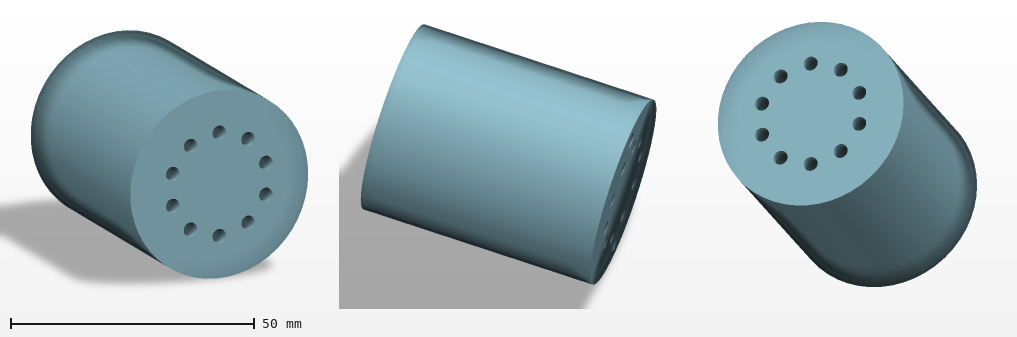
import cadquery as cq
import math

length = 50.0
diameter = 40.0

ring_hole_count = 10
ring_radius = 11.0
ring_hole_diameter = 3.0

blind_radius = 16.0
blind_diameter = 3.3
blind_depth = 10.0
blind_angle = 180.0 / ring_hole_count


def drill(radius, angle, hole_diameter, depth):
    """Cylinder entering the -X face; the angle runs from +Z toward -Y."""
    turn = math.radians(angle)
    entry = cq.Vector(-length / 2, -radius * math.sin(turn), radius * math.cos(turn))
    return cq.Workplane(cq.Solid.makeCylinder(hole_diameter / 2, depth, entry, cq.Vector(1, 0, 0)))


result = cq.Workplane("YZ", origin=(-length / 2, 0, 0)).circle(diameter / 2).extrude(length)

for index in range(ring_hole_count):
    ring_angle = index * 360.0 / ring_hole_count
    result = result.cut(drill(ring_radius, ring_angle, ring_hole_diameter, length))

for angle in (blind_angle, blind_angle + 180.0):
    result = result.cut(drill(blind_radius, angle, blind_diameter, blind_depth))